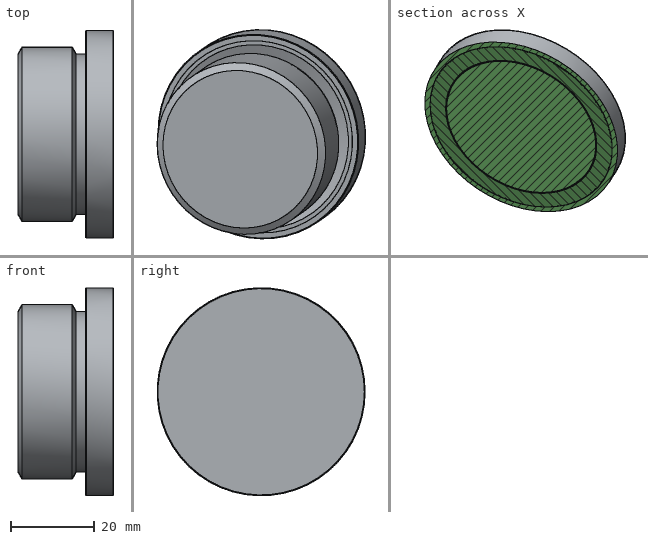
import cadquery as cq
import math

total_length = 23.0
flange_width = 6.7
flange_diameter = 50.0
flange_chamfer = 0.2
shank_diameter = 42.0
neck_diameter = 38.7
neck_length = 2.3
lead_chamfer_length = 1.0
chamfer_angle = 60.0

groove_diameter = 47.0
groove_depth = 2.0
seal_outer_diameter = 46.98
seal_inner_diameter = 38.98
seal_face_inner_diameter = 45.0
seal_bevel_depth = 1.0

front_x = -total_length / 2
back_x = total_length / 2
flange_x = back_x - flange_width
neck_x = flange_x - neck_length
groove_floor_x = flange_x + groove_depth

cone_slope = math.tan(math.radians(chamfer_angle))
lead_radius = shank_diameter / 2 - lead_chamfer_length * cone_slope
runout_length = (shank_diameter - neck_diameter) / 2 / cone_slope


def turn(outline):
    """Revolve an (x, radius) outline about the X axis."""
    return cq.Workplane("XY").polyline(outline).close().revolve(360, (0, 0, 0), (1, 0, 0))


def make_plug():
    """Shank, relieved neck and flange with its seal groove."""
    shank_radius = shank_diameter / 2
    neck_radius = neck_diameter / 2
    flange_radius = flange_diameter / 2
    groove_radius = groove_diameter / 2
    return turn([
        (front_x, 0),
        (front_x, lead_radius),
        (front_x + lead_chamfer_length, shank_radius),
        (neck_x - runout_length, shank_radius),
        (neck_x, neck_radius),
        (groove_floor_x, neck_radius),
        (groove_floor_x, groove_radius),
        (flange_x, groove_radius),
        (flange_x, flange_radius - flange_chamfer),
        (flange_x + flange_chamfer, flange_radius),
        (back_x - flange_chamfer, flange_radius),
        (back_x, flange_radius - flange_chamfer),
        (back_x, 0),
    ])


def make_seal():
    """Ring flush with the flange face, bevelled open towards the neck."""
    outer_radius = seal_outer_diameter / 2
    inner_radius = seal_inner_diameter / 2
    face_inner_radius = seal_face_inner_diameter / 2
    return turn([
        (groove_floor_x, inner_radius),
        (groove_floor_x, outer_radius),
        (flange_x, outer_radius),
        (flange_x, face_inner_radius),
        (flange_x + seal_bevel_depth, inner_radius),
    ])


plug = make_plug()
seal = make_seal()

result = cq.Compound.makeCompound([plug.val(), seal.val()])